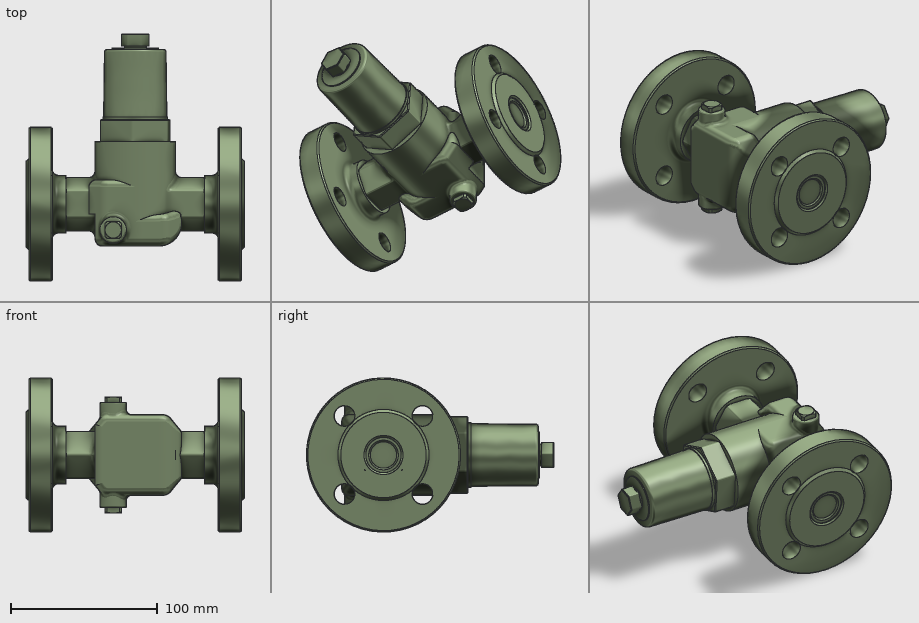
import cadquery as cq
import math


zone_margin = 0.2
on_wall_tolerance = 0.02
wall_check_points = (0, 0.3, 0.5, 1)

overall_length = 149.0
flange_dia = 105.0
flange_thickness = 16.0
flange_chamfer = 1.0
raised_face_height = 2.0
raised_face_dia = 58.2
raised_face_root_dia = 62.0
bolt_hole_dia = 14.0
bolt_circle_dia = 75.0
bolt_count = 4
neck_dia = 39.5
neck_length = 9.3
neck_fillet = 4.0
bore_mouth_dia = 26.6
bore_dia = 24.1
bore_step_dia = 20.2
bore_floor_dia = 18.0
bore_chamfer_depth = 1.0
bore_step_depth = 1.7
bore_depth = 2.7
pipe_hex_flats = 32.0
pipe_hex_turned_dia = 36.8
pipe_hex_rounding = 1.7
pipe_hex_chamfer = 1.0

face_x = overall_length / 2
flange_front_x = face_x - raised_face_height
flange_back_x = flange_front_x - flange_thickness
neck_end_x = flange_back_x - neck_length

body_dia = 55.0
body_top_y = 42.7
body_bottom_y = -28.5
body_radius = body_dia / 2
hex_root_fillet = 4.0

chamber_end_x = 31.5
chamber_end_half_height = 15.8
chamber_fillet = 4.9
chamber_slope_fillet = 6.7
inlet_top_y = 16.5
inlet_slope_x = 21.7
inlet_step_x = 27.3
inlet_step_y = -6.7
outlet_top_y = -7.0
outlet_rise = 6.7
outlet_bend_start_x = 13.5
outlet_slope_x = 21.9
outlet_corner_radius = 15.5

boss_x = -15.0
boss_y = -17.5
boss_dia = 18.0
boss_top_z = 35.9
boss_fillet = 1.2
boss_root_fillet = 3.4
plug_top_z = 39.6
plug_square = 11.3
plug_turned_dia = 14.0
plug_chamfer_height = 0.7
plug_face_dia = 11.1

screw_turn = 4.0
nut_turn = screw_turn + 30
nut_corner_dia = 53.0
nut_rounding = 1.7
nut_top_y = 57.7
nut_chamfer = 0.7
collar_dia = 44.2
collar_top_y = 59.5
cap_bottom_dia = 43.2
cap_top_dia = 42.0
cap_top_y = 105.4
cap_fillet = 1.7
disc_dia = 31.5
disc_top_y = 106.2
stem_dia = 15.0
stem_top_y = 107.7
screw_corner_dia = 19.0
screw_rounding = 0.8
screw_chamfer = 0.5
overall_reach_y = 168.5
screw_top_y = overall_reach_y - flange_dia / 2


def revolve_x(points):
    """Turn an (x, radius) outline about the pipe axis."""
    return cq.Workplane("XY").polyline(points).close().revolve(360, (0, 0, 0), (1, 0, 0))


def revolve_y(points):
    """Turn a (radius, y) outline about the housing axis."""
    return cq.Workplane("XY").polyline(points).close().revolve(360, (0, 0, 0), (0, 1, 0))


def disc_y(dia, bottom_y, top_y):
    """Cylinder on the housing axis."""
    return revolve_y([(0, bottom_y), (dia / 2, bottom_y), (dia / 2, top_y), (0, top_y)])


def rounded_hex_y(corner_dia, turn, bottom_y, top_y, rounding, chamfer):
    """Hexagon on the housing axis with rounded corners and a chamfered top rim."""
    return (
        cq.Workplane("XZ", origin=(0, bottom_y, 0))
        .transformed(rotate=(0, 0, turn))
        .polygon(6, corner_dia)
        .extrude(bottom_y - top_y)
        .edges("|Y")
        .fillet(rounding)
        .faces(">Y")
        .edges()
        .chamfer(chamfer)
    )


def flange():
    """Flange, raised face, neck and blind bore of the -X end."""
    plate = (
        cq.Workplane("YZ", origin=(-flange_front_x, 0, 0))
        .circle(flange_dia / 2)
        .extrude(flange_thickness)
        .edges()
        .chamfer(flange_chamfer)
    )
    plate = (
        plate.faces("<X")
        .workplane(origin=(0, 0, 0))
        .polarArray(bolt_circle_dia / 2, 180 / bolt_count, 360, bolt_count)
        .hole(bolt_hole_dia)
    )
    raised_face = revolve_x([
        (-flange_front_x, 0),
        (-flange_front_x, raised_face_root_dia / 2),
        (-face_x, raised_face_dia / 2),
        (-face_x, 0),
    ])
    neck_radius = neck_dia / 2
    fillet_mid = neck_fillet * (1 - math.sqrt(0.5))
    neck = (
        cq.Workplane("XY")
        .moveTo(-flange_back_x, 0)
        .lineTo(-flange_back_x, neck_radius + neck_fillet)
        .threePointArc(
            (-flange_back_x + fillet_mid, neck_radius + fillet_mid),
            (-flange_back_x + neck_fillet, neck_radius),
        )
        .lineTo(-neck_end_x, neck_radius)
        .lineTo(-neck_end_x, 0)
        .close()
        .revolve(360, (0, 0, 0), (1, 0, 0))
    )
    bore = revolve_x([
        (-face_x, 0),
        (-face_x, bore_mouth_dia / 2),
        (-face_x + bore_chamfer_depth, bore_dia / 2),
        (-face_x + bore_step_depth, bore_dia / 2),
        (-face_x + bore_step_depth, bore_step_dia / 2),
        (-face_x + bore_depth, bore_floor_dia / 2),
        (-face_x + bore_depth, 0),
    ])
    return plate.union(raised_face).union(neck).cut(bore)


def pipe_hex():
    """Hexagonal run between the necks, flats facing +Z and -Z."""
    corner_dia = pipe_hex_flats / math.cos(math.radians(30))
    hexagon = (
        cq.Workplane("YZ")
        .polygon(6, corner_dia)
        .extrude(neck_end_x, both=True)
        .edges("|X")
        .fillet(pipe_hex_rounding)
    )
    envelope = (
        cq.Workplane("YZ")
        .circle(pipe_hex_turned_dia / 2)
        .extrude(neck_end_x, both=True)
        .edges()
        .chamfer(pipe_hex_chamfer / 2, pipe_hex_chamfer)
    )
    return hexagon.intersect(envelope)


def sloped_prism(slope_x, end_x, bottom_y, top_y):
    """Half-octagon prism along Y, from x = 0 out to end_x, its sloping sides blended in."""
    prism = (
        cq.Workplane("XZ", origin=(0, top_y, 0))
        .polyline([
            (0, body_radius),
            (slope_x, body_radius),
            (end_x, chamber_end_half_height),
            (end_x, -chamber_end_half_height),
            (slope_x, -body_radius),
            (0, -body_radius),
        ])
        .close()
        .extrude(top_y - bottom_y)
    )
    slope_zone = cq.selectors.BoxSelector(
        (slope_x - zone_margin, bottom_y, -body_dia), (slope_x + zone_margin, top_y, body_dia)
    )
    return prism.edges("|Y").edges(slope_zone).fillet(chamber_slope_fillet)


def inlet_chamber():
    """Chamber on the -X side of the body."""
    chamber = sloped_prism(-inlet_slope_x, -chamber_end_x, body_bottom_y, inlet_top_y)
    step = cq.Workplane("XY").box(
        chamber_end_x - inlet_step_x, inlet_step_y - body_bottom_y, body_dia, centered=(False, False, True)
    )
    return chamber.cut(step.translate((-chamber_end_x, body_bottom_y, 0)))


def outlet_chamber():
    """Chamber on the +X side, bending up from below the body to the outlet."""
    corner_mid = outlet_corner_radius * (1 - math.sqrt(0.5))
    outline = (
        cq.Workplane("XY", origin=(0, 0, -body_radius))
        .moveTo(0, outlet_top_y)
        .lineTo(outlet_bend_start_x, outlet_top_y)
        .tangentArcPoint((chamber_end_x, outlet_top_y + outlet_rise), relative=False)
        .lineTo(chamber_end_x, body_bottom_y + outlet_corner_radius)
        .threePointArc(
            (chamber_end_x - corner_mid, body_bottom_y + corner_mid),
            (chamber_end_x - outlet_corner_radius, body_bottom_y),
        )
        .lineTo(0, body_bottom_y)
        .close()
        .extrude(body_dia)
    )
    prism = sloped_prism(outlet_slope_x, chamber_end_x, body_bottom_y, outlet_top_y + outlet_rise)
    return prism.intersect(outline)


def drain_boss():
    """Boss through the inlet chamber, level on both sides."""
    return (
        cq.Workplane("XY")
        .center(boss_x, boss_y)
        .circle(boss_dia / 2)
        .extrude(boss_top_z, both=True)
        .edges()
        .fillet(boss_fillet)
    )


def drain_plugs():
    """Square plug heads, corners turned round, on both ends of the boss."""
    square = cq.Workplane("XY").rect(plug_square, plug_square).extrude(plug_top_z, both=True)
    turned = (
        cq.Workplane("XY")
        .circle(plug_turned_dia / 2)
        .extrude(plug_top_z, both=True)
        .edges()
        .chamfer(plug_chamfer_height, (plug_turned_dia - plug_face_dia) / 2)
    )
    return square.intersect(turned).translate((boss_x, boss_y, 0))


def spring_housing():
    """Nut, collar, tapered cap and adjusting screw stacked along +Y."""
    nut = rounded_hex_y(nut_corner_dia, nut_turn, body_top_y, nut_top_y, nut_rounding, nut_chamfer)
    collar = disc_y(collar_dia, nut_top_y, collar_top_y)
    cap = revolve_y([
        (0, collar_top_y),
        (cap_bottom_dia / 2, collar_top_y),
        (cap_top_dia / 2, cap_top_y),
        (0, cap_top_y),
    ])
    cap = cap.faces(">Y").edges().fillet(cap_fillet)
    disc = disc_y(disc_dia, cap_top_y, disc_top_y)
    stem = disc_y(stem_dia, disc_top_y, stem_top_y)
    screw = rounded_hex_y(
        screw_corner_dia, screw_turn, stem_top_y, screw_top_y, screw_rounding, screw_chamfer
    )
    return nut.union(collar).union(cap).union(disc).union(stem).union(screw)


def chambers():
    """Inlet and outlet chambers joined, with rounded outer edges."""
    raw = inlet_chamber().union(outlet_chamber())
    outlet_top_zone = cq.selectors.BoxSelector(
        (0, outlet_top_y - zone_margin, -body_dia),
        (chamber_end_x - zone_margin, outlet_top_y + outlet_rise, body_dia),
    )
    bottom_edges = raw.faces("<Y").edges().vals()
    inlet_top_edges = raw.faces(">Y").edges("not >X").vals()
    outlet_top_edges = raw.edges("not (|Z or |Y)").edges(outlet_top_zone).vals()
    return raw.newObject(bottom_edges + inlet_top_edges + outlet_top_edges).fillet(chamber_fillet)


def body_core():
    """Upright body cylinder with the hexagonal run blended into it."""
    core_bottom_y = body_bottom_y + chamber_fillet
    core = disc_y(body_dia, core_bottom_y, body_top_y).union(pipe_hex())
    reach = pipe_hex_turned_dia / 2
    root_zone = cq.selectors.BoxSelector(
        (-body_radius - zone_margin, core_bottom_y + zone_margin, -reach),
        (body_radius + zone_margin, reach, reach),
    )
    return core.edges(root_zone).fillet(hex_root_fillet)


def is_boss_root(edge):
    """True for an edge on the boss side wall where the boss leaves the chamber."""
    on_wall = all(
        abs(math.hypot(point.x - boss_x, point.y - boss_y) - boss_dia / 2) < on_wall_tolerance
        for point in edge.positions(wall_check_points)
    )
    start, end = edge.startPoint(), edge.endPoint()
    is_upright = math.hypot(start.x - end.x, start.y - end.y) < on_wall_tolerance
    return on_wall and not is_upright and abs(edge.Center().z) < boss_top_z - 2 * boss_fillet


def bossed_chambers():
    """Chambers with the drain boss blended into them."""
    joined = chambers().union(drain_boss())
    root_edges = [edge for edge in joined.edges().vals() if is_boss_root(edge)]
    return joined.newObject(root_edges).fillet(boss_root_fillet)


body = body_core().union(bossed_chambers())

inlet_flange = flange()
outlet_flange = inlet_flange.mirror("YZ")
result = body.union(drain_plugs()).union(spring_housing()).union(inlet_flange).union(outlet_flange)